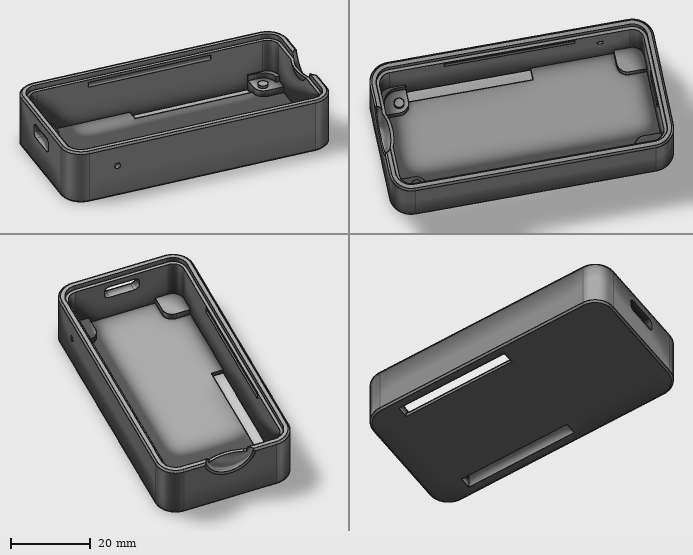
import cadquery as cq
length = 72.6
width = 36.2
height = 14.8
corner_radius = 5.5
edge_chamfer = 0.5
wall = 2.5
floor_thickness = 1.15

rabbet_wall = 1.6
rabbet_depth = 1.4

pad_width = 6.6
pad_length = 7.2
pad_height = 1.75
pad_radius = 2.75

pin_diameter = 2.55
pin_height = 0.7
pin_spacing = 23.0
pin_y = 29.1
fence_height = 1.5
fence_clearance_radius = 3.7
fence_length = 3.8

floor_slot_width = 3.3
floor_slot_end_y = -5.4
port_width = 9.5
port_height = 3.8
port_radius = 1.4
port_drop = 4.95
button_hole_diameter = 1.5
button_hole_y = -23.15
button_hole_drop = 5.95
snap_length = 33.4
snap_radius = 0.9
snap_depth = 0.35
snap_drop = 2.8

scoop_radius = 6.7
scoop_depth = 2.5
scoop_shell = 0.8
scoop_center_rise = 1.5
scoop_flare_depth = 0.3
scoop_flare_width = 0.6

top_z = height / 2
bottom_z = -height / 2
floor_z = bottom_z + floor_thickness
ledge_z = top_z - rabbet_depth
pad_z = floor_z + pad_height
inner_x = width / 2 - wall
inner_y = length / 2 - wall
through_wall = 2 * wall


def box_between(low, high):
    size = [b - a for a, b in zip(low, high)]
    return cq.Workplane("XY").box(*size, centered=False).translate(low)


def rounded_block(inset, low_z, high_z):
    """Block inside the outer outline, its corners concentric with the outer ones."""
    return (
        cq.Workplane("XY", origin=(0, 0, low_z))
        .rect(width - 2 * inset, length - 2 * inset)
        .extrude(high_z - low_z)
        .edges("|Z")
        .fillet(corner_radius - inset)
    )


def make_shell():
    body = rounded_block(0, bottom_z, top_z).faces("<Z or >Z").chamfer(edge_chamfer)
    body = body.cut(rounded_block(wall, floor_z, top_z))
    return body.cut(rounded_block(rabbet_wall, ledge_z, top_z))


def place_in_corner(shape, side_x, side_y):
    """Mirror a shape made at the +X +Y corner to the corner with the given signs."""
    if side_x < 0:
        shape = shape.mirror("YZ")
    if side_y < 0:
        shape = shape.mirror("XZ")
    return shape


def make_pad(side_x, side_y):
    pad = box_between(
        (inner_x - pad_width, inner_y - pad_length, floor_z),
        (inner_x, inner_y, pad_z),
    )
    pad = pad.edges("|Z and <X and <Y").fillet(pad_radius)
    return place_in_corner(pad, side_x, side_y)


def make_fence(side_x):
    """Raised corner on a rear pad, hollowed round the pin to seat the board."""
    pin_x = pin_spacing / 2
    fence = box_between(
        (inner_x - fence_length, inner_y - pad_length, pad_z),
        (inner_x, inner_y, pad_z + fence_height),
    )
    round_space = (
        cq.Workplane("XY", origin=(pin_x, pin_y, pad_z))
        .circle(fence_clearance_radius)
        .extrude(fence_height)
    )
    straight_space = box_between(
        (pin_x - fence_clearance_radius, inner_y - pad_length, pad_z),
        (pin_x + fence_clearance_radius, pin_y, pad_z + fence_height),
    )
    return place_in_corner(fence.cut(round_space).cut(straight_space), side_x, 1)


def make_pin(side_x):
    return (
        cq.Workplane("XY", origin=(side_x * pin_spacing / 2, pin_y, pad_z))
        .circle(pin_diameter / 2)
        .extrude(pin_height)
    )


def make_dish(offset):
    """Half of a flattened sphere whose round face, flared at the rim, is on the rear wall."""
    face_y = length / 2
    rim_y = face_y - scoop_flare_depth
    rim_radius = scoop_radius + offset
    dish = (
        cq.Workplane("XY")
        .moveTo(0, rim_y - scoop_depth - offset)
        .ellipseArc(rim_radius, scoop_depth + offset, 270, 360, startAtCurrent=True)
        .lineTo(rim_radius + scoop_flare_width, face_y)
        .lineTo(0, face_y)
        .close()
        .revolve(360, (0, 0), (0, 1))
    )
    return dish.translate((0, 0, top_z + scoop_center_rise))


def make_floor_slot(side_x):
    slot = box_between(
        (inner_x - floor_slot_width, floor_slot_end_y, bottom_z),
        (inner_x, inner_y - pad_length, floor_z),
    )
    return place_in_corner(slot, side_x, 1)


def make_port():
    return (
        cq.Workplane("XY")
        .box(port_width, through_wall, port_height)
        .edges("|Y")
        .fillet(port_radius)
        .translate((0, -length / 2, top_z - port_drop))
    )


def make_button_hole():
    return (
        cq.Workplane("YZ", origin=(inner_x - wall / 2, button_hole_y, top_z - button_hole_drop))
        .circle(button_hole_diameter / 2)
        .extrude(through_wall)
    )


def make_snap_groove(side_x):
    """Shallow round groove along a side wall that holds the lid."""
    axis_x = side_x * (inner_x + snap_depth - snap_radius)
    return (
        cq.Workplane("XZ", origin=(axis_x, snap_length / 2, top_z - snap_drop))
        .circle(snap_radius)
        .extrude(snap_length)
    )


result = make_shell()
cavity = rounded_block(wall, floor_z, top_z)

for x_sign in (-1, 1):
    for y_sign in (-1, 1):
        result = result.union(make_pad(x_sign, y_sign).intersect(cavity))
    result = result.union(make_fence(x_sign).intersect(cavity))
    result = result.union(make_pin(x_sign))
    result = result.cut(make_floor_slot(x_sign))
    result = result.cut(make_snap_groove(x_sign))

below_ledge = rounded_block(wall, floor_z, ledge_z)
scoop_bulge = make_dish(scoop_shell).intersect(below_ledge)
result = result.union(scoop_bulge).cut(make_dish(0))
result = result.cut(make_port()).cut(make_button_hole())